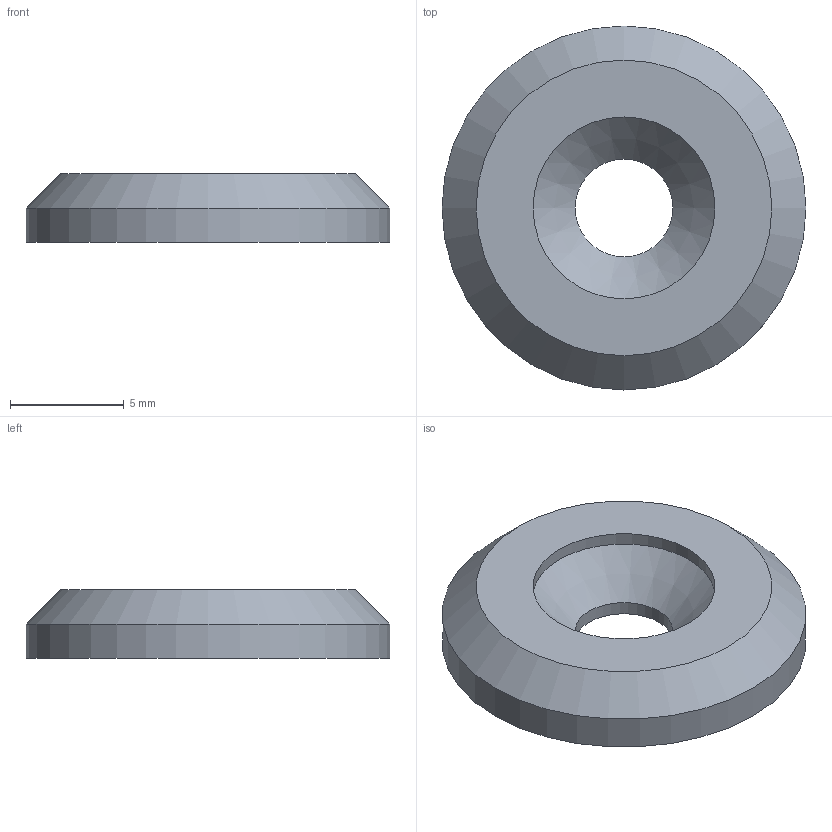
import cadquery as cq

outer_diameter = 16.0
thickness = 3.0
edge_chamfer = 1.5

recess_diameter = 8.0
recess_depth = 0.55
bore_diameter = 4.3

outer_radius = outer_diameter / 2
recess_radius = recess_diameter / 2
bore_radius = bore_diameter / 2
cone_depth = recess_radius - bore_radius

cone_top = thickness - recess_depth
cone_bottom = cone_top - cone_depth


def make_washer():
    """Revolve the half section, drawn as (radius, height), about the Z axis."""
    section = (
        cq.Workplane("XZ")
        .moveTo(bore_radius, 0)
        .lineTo(outer_radius, 0)
        .lineTo(outer_radius, thickness - edge_chamfer)
        .lineTo(outer_radius - edge_chamfer, thickness)
        .lineTo(recess_radius, thickness)
        .lineTo(recess_radius, cone_top)
        .lineTo(bore_radius, cone_bottom)
        .close()
    )
    return section.revolve(360, (0, 0, 0), (0, 1, 0))


result = make_washer()